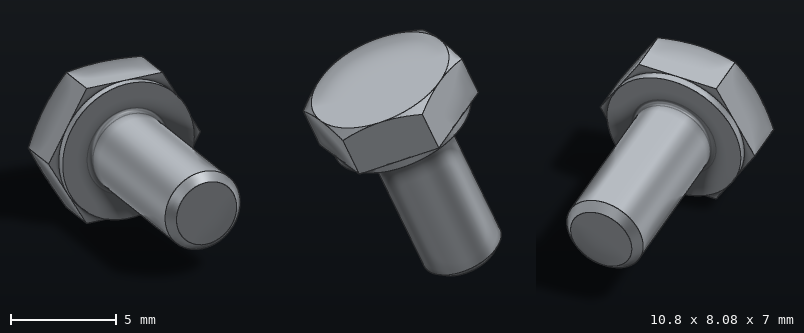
import cadquery as cq
import math

across_flats = 7.0
head_height = 2.4
head_chamfer_angle = 30.0
washer_diameter = across_flats
washer_thickness = 0.4
shank_diameter = 4.0
shank_length = 8.0
neck_fillet = 0.2
tip_chamfer = 0.4

across_corners = across_flats / math.cos(math.radians(30))
corner_radius = across_corners / 2
end_face_radius = across_flats / 2
chamfer_depth = (corner_radius - end_face_radius) * math.tan(math.radians(head_chamfer_angle))
shank_radius = shank_diameter / 2
washer_radius = washer_diameter / 2
hex_base_x = -washer_thickness
end_face_x = hex_base_x - head_height


def revolve_about_x(profile):
    """Revolve a closed XY profile a full turn about the X axis."""
    return profile.close().revolve(360, (0, 0, 0), (1, 0, 0))


def make_hex_head():
    """Hexagon with flats facing +Z and -Z, its outer end chamfered by a cone."""
    prism = (
        cq.Workplane("YZ")
        .workplane(offset=end_face_x)
        .polygon(6, across_corners)
        .extrude(head_height)
    )
    overrun = corner_radius - end_face_radius
    envelope = revolve_about_x(
        cq.Workplane("XY")
        .moveTo(end_face_x, 0)
        .lineTo(end_face_x, end_face_radius)
        .lineTo(end_face_x + 2 * chamfer_depth, corner_radius + overrun)
        .lineTo(hex_base_x, corner_radius + overrun)
        .lineTo(hex_base_x, 0)
    )
    return prism.intersect(envelope)


def make_washer_and_shank():
    """Washer face, filleted neck and shank with a chamfered tip, as one revolution."""
    fillet_mid_offset = neck_fillet * (1 - math.sqrt(0.5))
    return revolve_about_x(
        cq.Workplane("XY")
        .moveTo(hex_base_x, 0)
        .lineTo(hex_base_x, washer_radius)
        .lineTo(0, washer_radius)
        .lineTo(0, shank_radius + neck_fillet)
        .threePointArc(
            (fillet_mid_offset, shank_radius + fillet_mid_offset),
            (neck_fillet, shank_radius),
        )
        .lineTo(shank_length - tip_chamfer, shank_radius)
        .lineTo(shank_length, shank_radius - tip_chamfer)
        .lineTo(shank_length, 0)
    )


result = make_hex_head().union(make_washer_and_shank())